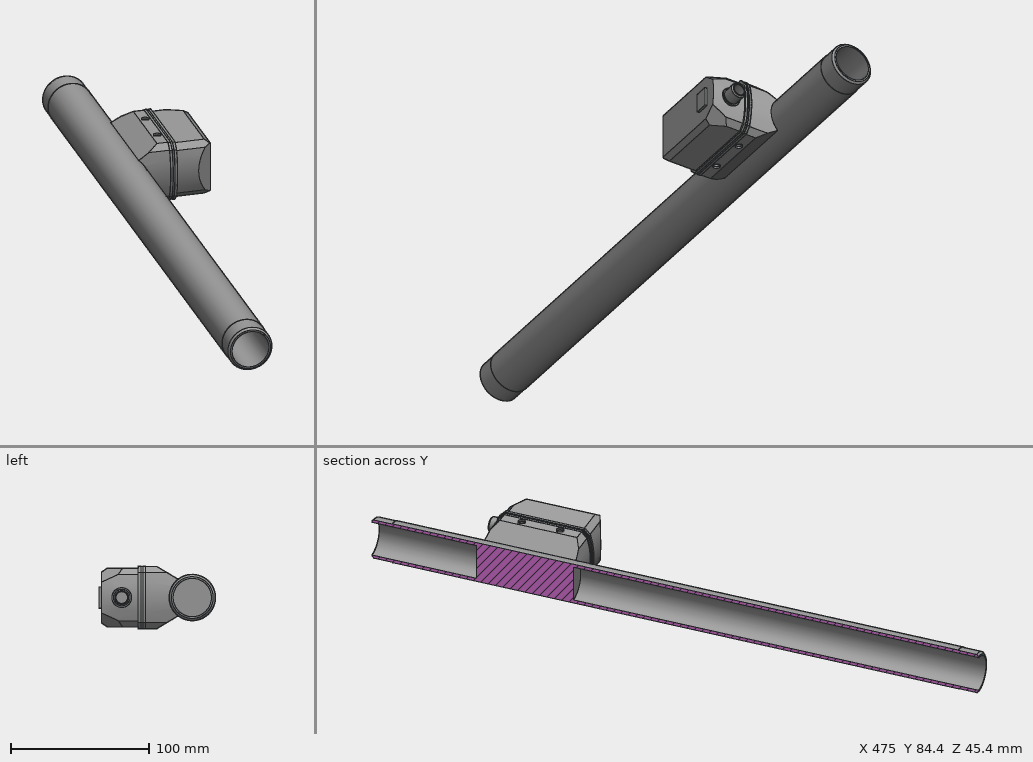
import cadquery as cq
import math

pipe_length = 475.0
pipe_diameter = 33.7
bore_diameter = 27.7
end_diameter = 33.2
end_length = 16.0
end_chamfer = 1.5

section_start = 81.8
section_length = 76.0
section_end = section_start + section_length
section_center = section_start + section_length / 2

overall_y = 84.35
end_bulge = 2.7
corner_x = 4.3
corner_z = 4.5

base_length = 74.4
base_height = 45.2
base_slope_start_y = 25.7
base_slope_end_y = 10.3

band_length = section_length
band_height = 45.4
band_start_y = 33.9
band_lip = 1.9
band_gap = 1.4
band_end_y = band_start_y + 2 * band_lip + band_gap

cap_length = 73.0
cap_height = 42.6
cap_end_y = 65.8
cap_back_chamfer_y = 4.3
cap_back_chamfer_z = 3.0
cap_right_chamfer_x = 5.0
cap_right_chamfer_y = 10.5
cap_left_x = section_center - cap_length / 2

corner_cut_normal = (-0.59, 0.277, 0.76)
corner_cut_offset_x = 4.4
corner_cut_y = 53.0
corner_cut_z = 18.3
corner_cut_size = 40.0

pad_length = 10.5
pad_height = 15.5
pad_center_x = 97.3
pad_end_y = overall_y - pipe_diameter / 2
pad_depth = pad_end_y - cap_end_y

connector_y = 51.0
connector_start_x = 72.0
connector_diameter = 12.0
connector_bore_diameter = 8.45
connector_bore_depth = 8.0
connector_chamfer = 1.0
collar_diameter = 14.3
collar_start_x = 82.3

screw_spacing = 30.0
screw_y = 30.3
screw_head_diameter = 5.5
screw_head_depth = 1.5
screw_hole_diameter = 4.45
screw_hole_depth = 3.0


def x_cylinder(diameter, start_x, end_x, y=0.0):
    """Cylinder along X between start_x and end_x, centred on the given Y."""
    plane = cq.Workplane("YZ", origin=(start_x, y, 0))
    return plane.circle(diameter / 2).extrude(end_x - start_x)


def housing_block(length, height, start_y, end_y):
    """Block along Y with bulging left and right ends and four bevelled corners."""
    tip_x = length / 2
    edge_x = tip_x - end_bulge
    flat_x = edge_x - corner_x
    top_z = height / 2
    edge_z = top_z - corner_z
    plane = cq.Workplane("XZ", origin=(section_center, start_y, 0))
    outline = (
        plane.moveTo(-flat_x, top_z)
        .lineTo(flat_x, top_z)
        .lineTo(edge_x, edge_z)
        .threePointArc((tip_x, 0), (edge_x, -edge_z))
        .lineTo(flat_x, -top_z)
        .lineTo(-flat_x, -top_z)
        .lineTo(-edge_x, -edge_z)
        .threePointArc((-tip_x, 0), (-edge_x, edge_z))
        .close()
    )
    return outline.extrude(start_y - end_y)


def make_pipe():
    pipe = x_cylinder(end_diameter, 0, pipe_length).faces("<X or >X").chamfer(end_chamfer)
    pipe = pipe.union(x_cylinder(pipe_diameter, end_length, pipe_length - end_length))
    pipe = pipe.cut(x_cylinder(bore_diameter, 0, section_start))
    return pipe.cut(x_cylinder(bore_diameter, section_end, pipe_length))


def make_base():
    """Base whose top and bottom slope down to the pipe surface."""
    seat_z = math.sqrt((pipe_diameter / 2) ** 2 - base_slope_end_y**2)
    half_height = base_height / 2
    profile = [
        (base_slope_end_y, -seat_z),
        (base_slope_start_y, -half_height),
        (band_end_y, -half_height),
        (band_end_y, half_height),
        (base_slope_start_y, half_height),
        (base_slope_end_y, seat_z),
    ]
    plane = cq.Workplane("YZ", origin=(section_start, 0, 0))
    envelope = plane.polyline(profile).close().extrude(section_length)
    return housing_block(base_length, base_height, base_slope_end_y, band_end_y).intersect(envelope)


def make_band():
    """Two lips with a groove between them."""
    upper_start_y = band_start_y + band_lip + band_gap
    lower = housing_block(band_length, band_height, band_start_y, band_start_y + band_lip)
    return lower.union(housing_block(band_length, band_height, upper_start_y, band_end_y))


def make_cap():
    cap = housing_block(cap_length, cap_height, band_end_y, cap_end_y)
    right_x = cap_left_x + cap_length
    right_wedge = (
        cq.Workplane("XY", origin=(0, 0, -cap_height / 2))
        .moveTo(right_x, cap_end_y)
        .lineTo(right_x - cap_right_chamfer_x, cap_end_y)
        .lineTo(right_x, cap_end_y - cap_right_chamfer_y)
        .close()
        .extrude(cap_height)
    )
    back_wedge = (
        cq.Workplane("YZ", origin=(cap_left_x, 0, 0))
        .moveTo(cap_end_y, cap_height / 2)
        .lineTo(cap_end_y - cap_back_chamfer_y, cap_height / 2)
        .lineTo(cap_end_y, cap_height / 2 - cap_back_chamfer_z)
        .close()
        .extrude(cap_length)
    )
    cut_origin = (cap_left_x + corner_cut_offset_x, corner_cut_y, corner_cut_z)
    cut_plane = cq.Plane(origin=cut_origin, normal=corner_cut_normal)
    corner_wedge = cq.Workplane(cut_plane).rect(corner_cut_size, corner_cut_size).extrude(corner_cut_size)
    cap = cap.cut(right_wedge)
    for wedge in (back_wedge, corner_wedge):
        cap = cap.cut(wedge).cut(wedge.mirror("XY"))
    return cap


def make_pad():
    pad = cq.Workplane("XY").box(pad_length, pad_depth, pad_height)
    return pad.translate((pad_center_x, cap_end_y + pad_depth / 2, 0))


def make_connector():
    root_x = cap_left_x + end_bulge
    body = x_cylinder(connector_diameter, connector_start_x, root_x, connector_y)
    body = body.faces("<X").chamfer(connector_chamfer)
    body = body.union(x_cylinder(collar_diameter, collar_start_x, root_x, connector_y))
    bore_end_x = connector_start_x + connector_bore_depth
    return body.cut(x_cylinder(connector_bore_diameter, connector_start_x, bore_end_x, connector_y))


def cut_screw_holes(body):
    for offset_x in (-screw_spacing / 2, screw_spacing / 2):
        origin = (section_center + offset_x, screw_y, base_height / 2)
        top = cq.Workplane("XY", origin=origin)
        hole = top.circle(screw_head_diameter / 2).extrude(-screw_head_depth)
        hole = hole.union(top.circle(screw_hole_diameter / 2).extrude(-screw_hole_depth))
        body = body.cut(hole).cut(hole.mirror("XY"))
    return body


result = make_pipe()
for housing_part in (cut_screw_holes(make_base()), make_band(), make_cap(), make_pad(), make_connector()):
    result = result.union(housing_part)